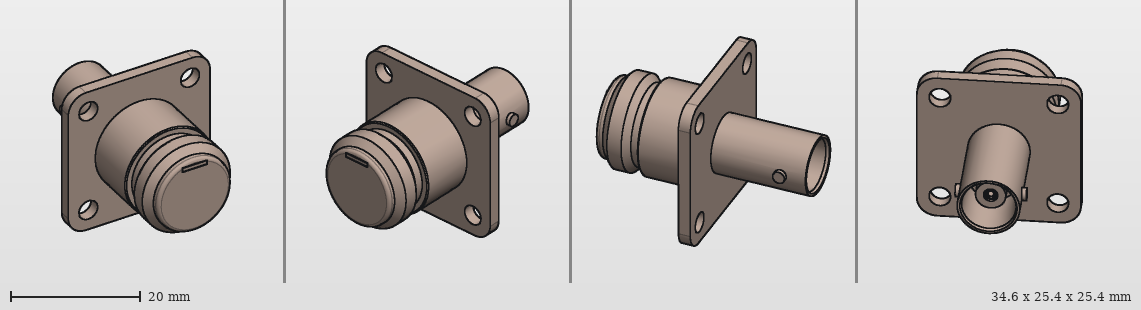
import cadquery as cq

total_length = 34.6
strip_height = 0.1
body_length = total_length - strip_height

flange_side = 25.4
flange_thickness = 2.0
flange_start = 15.88
flange_end = flange_start + flange_thickness
flange_corner_radius = 3.15
flange_hole_diameter = 3.32
flange_hole_spacing = 18.25

barrel_radius = 4.85
lug_radius = 1.0
lug_position = 4.22
lug_tip_radius = 5.5

bore_mouth_radius = 4.43
bore_chamfer_radius = 4.22
bore_chamfer_depth = 0.52
bore_floor_radius = 4.0
bore_depth = 8.3

insulator_radius = 2.35
insulator_face = 3.4
recess_mouth_radius = 1.1
recess_floor_radius = 0.9
contact_setback = 0.2
contact_face = insulator_face + contact_setback
contact_mouth_radius = 0.7
contact_hole_radius = 0.5
contact_chamfer_depth = contact_mouth_radius - contact_hole_radius
contact_hole_depth = 3.45
contact_hole_end = contact_face + contact_hole_depth
contact_tip_end = contact_hole_end + contact_hole_radius

body_radius = 7.9
body_end = 26.95
body_chamfer = 0.2
neck_radius = 6.75
neck_end = 28.48
collar_start = neck_end + body_radius - neck_radius
collar_end = 32.0
rim_radius = 6.65
rim_start = collar_end + body_radius - rim_radius
rim_fillet = 0.62

strip_width = 4.35
strip_bottom = 5.0
strip_top = 5.75


def turned(profile_points):
    """Revolve a closed (x, radius) outline about the X axis."""
    return cq.Workplane("XY").polyline(profile_points).close().revolve(360, (0, 0, 0), (1, 0, 0))


def make_body():
    body = turned([
        (0, 0),
        (0, barrel_radius),
        (flange_end, barrel_radius),
        (flange_end, body_radius),
        (body_end - body_chamfer, body_radius),
        (body_end, body_radius - body_chamfer),
        (body_end, neck_radius),
        (neck_end, neck_radius),
        (collar_start, body_radius),
        (collar_end, body_radius),
        (rim_start, rim_radius),
        (body_length, rim_radius),
        (body_length, 0),
    ])
    return body.faces(">X").edges().fillet(rim_fillet)


def make_flange():
    flange = cq.Workplane("YZ", origin=(flange_start, 0, 0)).rect(flange_side, flange_side)
    flange = flange.extrude(flange_thickness).edges("|X").fillet(flange_corner_radius)
    holes = cq.Workplane("YZ", origin=(flange_start, 0, 0))
    holes = holes.rect(flange_hole_spacing, flange_hole_spacing, forConstruction=True).vertices()
    return flange.cut(holes.circle(flange_hole_diameter / 2).extrude(flange_thickness))


def make_lugs():
    lugs = cq.Workplane("XZ").center(lug_position, 0).circle(lug_radius)
    return lugs.extrude(lug_tip_radius, both=True)


def make_socket():
    """Space to remove: the bore around the insulator, the recess and the contact hole."""
    bore = turned([
        (0, 0),
        (0, bore_mouth_radius),
        (bore_chamfer_depth, bore_chamfer_radius),
        (bore_depth, bore_floor_radius),
        (bore_depth, insulator_radius),
        (insulator_face, insulator_radius),
        (insulator_face, 0),
    ])
    contact = turned([
        (insulator_face, 0),
        (insulator_face, recess_mouth_radius),
        (contact_face, recess_floor_radius),
        (contact_face, contact_mouth_radius),
        (contact_face + contact_chamfer_depth, contact_hole_radius),
        (contact_hole_end, contact_hole_radius),
        (contact_tip_end, 0),
    ])
    return bore.union(contact)


def make_strip():
    strip_centre = (body_length, 0, (strip_bottom + strip_top) / 2)
    strip = cq.Workplane("YZ", origin=strip_centre).rect(strip_width, strip_top - strip_bottom)
    return strip.extrude(strip_height)


outside = make_body().union(make_flange()).union(make_lugs()).union(make_strip())
result = outside.cut(make_socket())